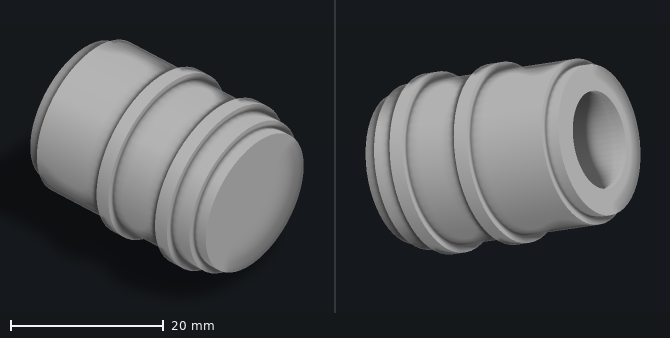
import cadquery as cq

length = 30.0
collar_diameter = 24.0
body_diameter = 22.0
spigot_diameter = 20.0
spigot_length = 1.95

collar_width = 2.0
first_collar_start = 13.0
collar_pitch = 10.0
collar_starts = (first_collar_start, first_collar_start + collar_pitch)

bore_diameter = 13.0
bore_depth = collar_starts[-1]


def cylinder(start, width, diameter):
    """Solid disc along X whose -X face lies at `start`."""
    return cq.Workplane("YZ", origin=(start, 0, 0)).circle(diameter / 2).extrude(width)


sleeve = cylinder(0, length, spigot_diameter)

sleeve = sleeve.union(cylinder(spigot_length, length - 2 * spigot_length, body_diameter))

for collar_start in collar_starts:
    sleeve = sleeve.union(cylinder(collar_start, collar_width, collar_diameter))

result = sleeve.cut(cylinder(0, bore_depth, bore_diameter))